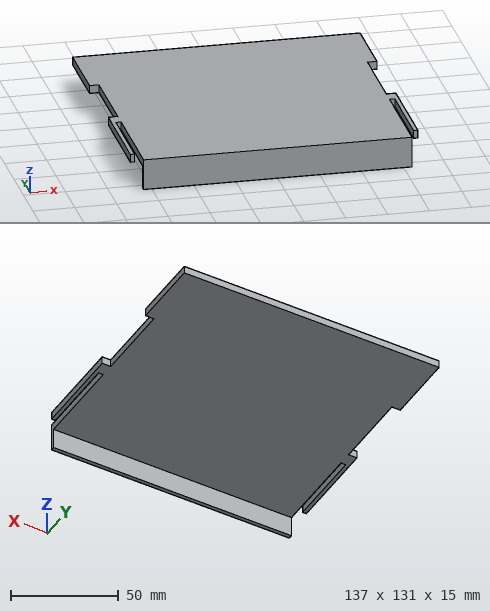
import cadquery as cq

width = 137.0
length = 131.0
height = 15.0

plate_thickness = 4.0
lip_thickness = 2.0

side_inset = 4.5
arm_width = 2.0

rear_ear_length = 36.0
notch_length = 40.0
arm_root_length = 7.0
arm_setback = 8.0

body_width = width - 2 * side_inset
front_y = -length / 2
rear_y = length / 2
arm_root_rear_y = rear_y - rear_ear_length - notch_length
arm_root_front_y = arm_root_rear_y - arm_root_length
arm_tip_y = front_y + arm_setback


def block(x_start, x_end, y_start, y_end, depth):
    """Box between the given X and Y limits, hanging down from Z = 0."""
    return (
        cq.Workplane("XY")
        .box(x_end - x_start, y_end - y_start, depth, centered=False)
        .translate((x_start, y_start, -depth))
    )


def spring_arm():
    """Left arm: a short root on the plate and a thin finger pointing forward."""
    outer_x = -width / 2
    root = block(outer_x, -body_width / 2, arm_root_front_y, arm_root_rear_y, plate_thickness)
    finger = block(outer_x, outer_x + arm_width, arm_tip_y, arm_root_rear_y, plate_thickness)
    return root.union(finger)


body = block(-body_width / 2, body_width / 2, front_y, rear_y, plate_thickness)
rear_ears = block(-width / 2, width / 2, rear_y - rear_ear_length, rear_y, plate_thickness)
lip = block(-body_width / 2, body_width / 2, front_y, front_y + lip_thickness, height)
left_arm = spring_arm()
right_arm = left_arm.mirror("YZ")

result = body.union(rear_ears).union(lip).union(left_arm).union(right_arm).clean()